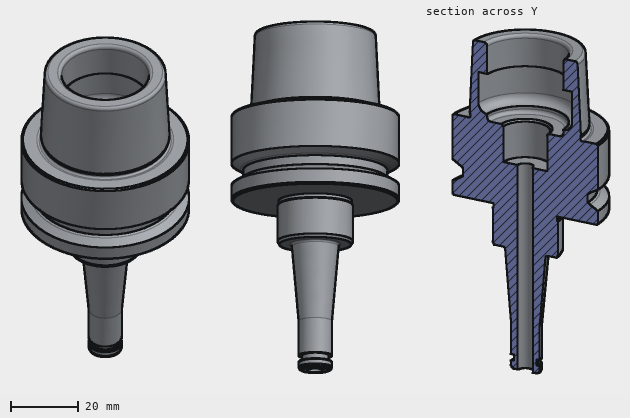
import cadquery as cq
import math


TAPER_HEIGHT = 25.0
TAPER_GAUGE_DIA = 38.0
TAPER_GAUGE_Z = 5.0
TAPER_RATIO = 0.1
TAPER_TIP_ROUND = 1.0
TAPER_BASE_Z = 1.6

NECK_DIA = 37.91
NECK_TOP_Z = 0.95
UNDERCUT_ROUND = 0.6
UNDERCUT_RIM_DIA = 40.7
UNDERCUT_SLOPE = math.radians(10)

FLANGE_DIA = 50.0
FLANGE_THICKNESS = 26.0
FLANGE_CHAMFER = 0.5
GROOVE_DIA = 43.0
GROOVE_CENTER_Z = -18.0
GROOVE_MOUTH_WIDTH = 6.8
GROOVE_FLANK_ANGLE = math.radians(30)
GROOVE_CORNER_WIDTH = 0.8
GROOVE_CORNER_HEIGHT = 0.5

COLLAR_DIA = 22.5
COLLAR_BOTTOM_Z = -39.2
COLLAR_NECK_HEIGHT = 1.1
COLLAR_TOP_CHAMFER = 0.3
COLLAR_BOTTOM_CHAMFER_HEIGHT = 0.95
COLLAR_BOTTOM_CHAMFER_WIDTH = 0.55

STEM_TOP_DIA = 14.0
STEM_ROOT_ROUND = 0.6
PILOT_DIA = 10.0
PILOT_TOP_Z = -62.5
PILOT_BOTTOM_Z = -73.0
KNOB_NECK_DIA = 8.0
KNOB_TOP_Z = -74.8
KNOB_TOP_CHAMFER = 0.3
KNOB_LEAD_TOP_Z = -76.5
KNOB_LEAD_BOTTOM_Z = -77.1
KNOB_LEAD_WIDTH = 0.25
KNOB_END_DIA = 8.0
BOTTOM_Z = -77.5

BORE_DIA = 26.0
BORE_DEPTH = 25.0
BORE_MOUTH_ROUND = 1.15
BORE_FLOOR_ROUND = 1.2
CLAMP_GROOVE_DIA = 32.0
CLAMP_GROOVE_TOP_DEPTH = 10.1
CLAMP_GROOVE_WALL_DEPTH = 19.8
THREAD_CORE_DIA = 14.92
THREAD_DIA = 16.2
THREAD_DEPTH = 12.0
COOLANT_DIA = 5.0


def taper_radius(z):
    return (TAPER_GAUGE_DIA - TAPER_RATIO * (z - TAPER_GAUGE_Z)) / 2


def add_taper(profile):
    """Tip face, rounded tip edge, conical flank and undercut, ending on the flange face."""
    tip_round_z = TAPER_HEIGHT - TAPER_TIP_ROUND
    neck_radius = NECK_DIA / 2
    rim_radius = UNDERCUT_RIM_DIA / 2
    round_center = neck_radius + UNDERCUT_ROUND
    round_end = round_center + UNDERCUT_ROUND * math.sin(UNDERCUT_SLOPE)
    round_end_z = -(rim_radius - round_end) * math.tan(UNDERCUT_SLOPE)
    round_center_z = round_end_z + UNDERCUT_ROUND * math.cos(UNDERCUT_SLOPE)
    return (
        profile.lineTo(taper_radius(tip_round_z) - TAPER_TIP_ROUND, TAPER_HEIGHT)
        .radiusArc((taper_radius(tip_round_z), tip_round_z), TAPER_TIP_ROUND)
        .lineTo(taper_radius(TAPER_BASE_Z), TAPER_BASE_Z)
        .lineTo(neck_radius, NECK_TOP_Z)
        .lineTo(neck_radius, round_center_z)
        .radiusArc((round_end, round_end_z), -UNDERCUT_ROUND)
        .lineTo(rim_radius, 0)
    )


def add_flange(profile):
    """Chamfered flange with the V-groove around its rim."""
    rim = FLANGE_DIA / 2
    floor = GROOVE_DIA / 2
    mouth_half = GROOVE_MOUTH_WIDTH / 2
    flank_end = floor + GROOVE_CORNER_WIDTH
    flank_half = mouth_half - (rim - flank_end) * math.tan(GROOVE_FLANK_ANGLE)
    floor_half = flank_half - GROOVE_CORNER_HEIGHT
    return (
        profile.lineTo(rim - FLANGE_CHAMFER, 0)
        .lineTo(rim, -FLANGE_CHAMFER)
        .lineTo(rim, GROOVE_CENTER_Z + mouth_half)
        .lineTo(flank_end, GROOVE_CENTER_Z + flank_half)
        .lineTo(floor, GROOVE_CENTER_Z + floor_half)
        .lineTo(floor, GROOVE_CENTER_Z - floor_half)
        .lineTo(flank_end, GROOVE_CENTER_Z - flank_half)
        .lineTo(rim, GROOVE_CENTER_Z - mouth_half)
        .lineTo(rim, -FLANGE_THICKNESS + FLANGE_CHAMFER)
        .lineTo(rim - FLANGE_CHAMFER, -FLANGE_THICKNESS)
    )


def add_collar(profile):
    """Collar with a slim neck under the flange and a steep chamfer at its lower edge."""
    radius = COLLAR_DIA / 2
    neck = radius - COLLAR_TOP_CHAMFER
    neck_end_z = -FLANGE_THICKNESS - COLLAR_NECK_HEIGHT
    return (
        profile.lineTo(neck, -FLANGE_THICKNESS)
        .lineTo(neck, neck_end_z)
        .lineTo(radius, neck_end_z - COLLAR_TOP_CHAMFER)
        .lineTo(radius, COLLAR_BOTTOM_Z + COLLAR_BOTTOM_CHAMFER_HEIGHT)
        .lineTo(radius - COLLAR_BOTTOM_CHAMFER_WIDTH, COLLAR_BOTTOM_Z)
    )


def add_stem(profile):
    """Tapered stem, cylindrical pilot, and the necked knob at the end."""
    stem = STEM_TOP_DIA / 2
    pilot = PILOT_DIA / 2
    neck = KNOB_NECK_DIA / 2
    return (
        profile.lineTo(stem + STEM_ROOT_ROUND, COLLAR_BOTTOM_Z)
        .radiusArc((stem, COLLAR_BOTTOM_Z - STEM_ROOT_ROUND), -STEM_ROOT_ROUND)
        .lineTo(pilot, PILOT_TOP_Z)
        .lineTo(pilot, PILOT_BOTTOM_Z)
        .lineTo(neck, PILOT_BOTTOM_Z)
        .lineTo(neck, KNOB_TOP_Z)
        .lineTo(pilot - KNOB_TOP_CHAMFER, KNOB_TOP_Z)
        .lineTo(pilot, KNOB_TOP_Z - KNOB_TOP_CHAMFER)
        .lineTo(pilot, KNOB_LEAD_TOP_Z)
        .lineTo(pilot - KNOB_LEAD_WIDTH, KNOB_LEAD_BOTTOM_Z)
        .lineTo(KNOB_END_DIA / 2, BOTTOM_Z)
    )


def add_bore(profile):
    """Coolant hole, chamfered thread core, and bore with its clamping groove, from the bottom up."""
    bore = BORE_DIA / 2
    core = THREAD_CORE_DIA / 2
    thread = THREAD_DIA / 2
    coolant = COOLANT_DIA / 2
    groove = CLAMP_GROOVE_DIA / 2
    groove_top_z = TAPER_HEIGHT - CLAMP_GROOVE_TOP_DEPTH
    groove_wall_z = TAPER_HEIGHT - CLAMP_GROOVE_WALL_DEPTH
    groove_round = groove - bore
    floor_z = TAPER_HEIGHT - BORE_DEPTH
    core_floor_z = floor_z - THREAD_DEPTH
    return (
        profile.lineTo(coolant, BOTTOM_Z)
        .lineTo(coolant, core_floor_z)
        .lineTo(core, core_floor_z)
        .lineTo(core, floor_z - (thread - core))
        .lineTo(thread, floor_z)
        .lineTo(bore - BORE_FLOOR_ROUND, floor_z)
        .radiusArc((bore, floor_z + BORE_FLOOR_ROUND), -BORE_FLOOR_ROUND)
        .lineTo(bore, groove_wall_z - groove_round)
        .radiusArc((groove, groove_wall_z), -groove_round)
        .lineTo(groove, groove_top_z)
        .lineTo(bore, groove_top_z)
        .lineTo(bore, TAPER_HEIGHT - BORE_MOUTH_ROUND)
        .radiusArc((bore + BORE_MOUTH_ROUND, TAPER_HEIGHT), BORE_MOUTH_ROUND)
    )


section = cq.Workplane("XZ").moveTo(BORE_DIA / 2 + BORE_MOUTH_ROUND, TAPER_HEIGHT)
for add_portion in (add_taper, add_flange, add_collar, add_stem, add_bore):
    section = add_portion(section)

result = section.close().revolve(360, (0, 0, 0), (0, 1, 0))